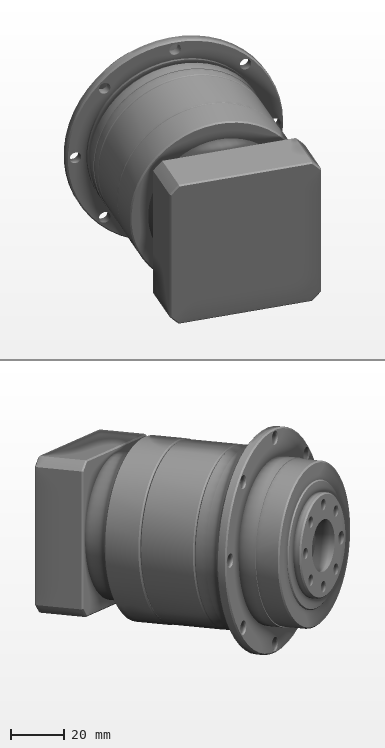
import cadquery as cq
import math

total_length = 105.5
edge_chamfer = 0.5

hub_radius = 20.0
hub_length = 3.0
seal_radius = 24.6
seal_height = 0.5
seal_chamfer = 0.4
bore_diameter = 20.0
bore_depth = 8.0
hub_hole_circle_radius = 15.7
hub_hole_positions = 8
tapped_hole_diameter = 4.3
tapped_hole_depth = 8.0
drill_tip_angle = 118.0
dowel_hole_diameter = 5.1
dowel_hole_depth = 6.0

nose_face_x = hub_length + seal_height
nose_radius = 31.6
pilot_start_x = 13.1
pilot_radius = 32.0
flange_start_x = 20.0
flange_thickness = 3.9
flange_end_x = flange_start_x + flange_thickness
flange_diameter = 86.0
land_radius = 35.1
collar_end_x = 25.0
ring_groove_end_x = 27.6
ring_groove_radius = 33.5
land_end_x = 32.2
barrel_radius = 34.9
front_seam_x = 37.0

bolt_hole_count = 8
bolt_hole_circle_radius = 39.5
bolt_hole_diameter = 4.5
bolt_hole_chamfer = 0.4

rear_seam_x = 59.5
rear_shoulder_x = 74.3
neck_radius = 28.0
plate_start_x = 85.5
plate_side = 60.0
plate_corner_radius = 40.0


def disc(start_x, end_x, radius):
    """Solid cylinder along the X axis."""
    return cq.Workplane("YZ", origin=(start_x, 0, 0)).circle(radius).extrude(end_x - start_x)


def hub_hole_cutter(angle, diameter, depth, tip_height):
    """Blind hole in the hub face, drilled along X, with an optional conical tip."""
    radius = diameter / 2
    cutter = (
        cq.Workplane("XY")
        .polyline([(0, 0), (0, radius), (depth, radius), (depth + tip_height, 0)])
        .close()
        .revolve(360, (0, 0, 0), (1, 0, 0))
    )
    return cutter.translate((0, hub_hole_circle_radius, 0)).rotate((0, 0, 0), (1, 0, 0), angle)


def cut_hub_holes(body):
    """Central bore, seven tapped holes and one flat-bottomed dowel hole on the -Y side."""
    body = body.cut(disc(0, bore_depth, bore_diameter / 2))
    tip_height = tapped_hole_diameter / 2 / math.tan(math.radians(drill_tip_angle / 2))
    dowel_position = hub_hole_positions // 2
    for position in range(hub_hole_positions):
        angle = position * 360 / hub_hole_positions
        if position == dowel_position:
            cutter = hub_hole_cutter(angle, dowel_hole_diameter, dowel_hole_depth, 0)
        else:
            cutter = hub_hole_cutter(angle, tapped_hole_diameter, tapped_hole_depth, tip_height)
        body = body.cut(cutter)
    return body


def make_mounting_flange():
    """Round flange with a ring of through holes chamfered at the front face."""
    flange = disc(flange_start_x, flange_end_x, flange_diameter / 2).edges().chamfer(edge_chamfer)
    bolt_holes = (
        cq.Workplane("YZ", origin=(flange_start_x, 0, 0))
        .polarArray(bolt_hole_circle_radius, 0, 360, bolt_hole_count)
        .circle(bolt_hole_diameter / 2)
        .extrude(flange_thickness)
    )
    mouth = (
        cq.Workplane("YZ", origin=(flange_start_x, 0, 0))
        .circle(bolt_hole_diameter / 2 + bolt_hole_chamfer)
        .workplane(offset=bolt_hole_chamfer)
        .circle(bolt_hole_diameter / 2)
        .loft()
        .translate((0, bolt_hole_circle_radius, 0))
    )
    flange = flange.cut(bolt_holes)
    for position in range(bolt_hole_count):
        angle = position * 360 / bolt_hole_count
        flange = flange.cut(mouth.rotate((0, 0, 0), (1, 0, 0), angle))
    return flange


def make_front_housing():
    """Output hub, seal ring, stepped pilot, flange and O-ring groove in one solid."""
    hub = disc(0, nose_face_x, hub_radius).faces("<X").edges().chamfer(edge_chamfer)
    seal = disc(hub_length, pilot_start_x, seal_radius).faces("<X").edges().chamfer(seal_chamfer)
    nose = disc(nose_face_x, pilot_start_x, nose_radius).faces("<X").edges().chamfer(edge_chamfer)
    pilot = disc(pilot_start_x, flange_start_x, pilot_radius)
    collar = disc(flange_end_x, collar_end_x, land_radius)
    groove_floor = disc(collar_end_x, ring_groove_end_x, ring_groove_radius)
    land = disc(ring_groove_end_x, land_end_x, land_radius)
    tail = disc(land_end_x, front_seam_x, barrel_radius).faces(">X").edges().chamfer(edge_chamfer)
    housing = hub
    for section in (seal, nose, pilot, make_mounting_flange(), collar, groove_floor, land, tail):
        housing = housing.union(section)
    return cut_hub_holes(housing)


def make_ring_gear():
    """Plain barrel whose chamfered ends form V-grooves with its neighbours."""
    return disc(front_seam_x, rear_seam_x, barrel_radius).edges().chamfer(edge_chamfer)


def make_rear_housing():
    """Chamfered drum, neck and square motor plate with corners turned to a cylinder."""
    drum = disc(rear_seam_x, rear_shoulder_x, land_radius).edges().chamfer(edge_chamfer)
    neck = disc(rear_shoulder_x, plate_start_x, neck_radius)
    plate = (
        cq.Workplane("YZ", origin=(plate_start_x, 0, 0))
        .rect(plate_side, plate_side)
        .extrude(total_length - plate_start_x)
        .intersect(disc(plate_start_x, total_length, plate_corner_radius))
        .faces("<X or >X")
        .edges()
        .chamfer(edge_chamfer)
    )
    return drum.union(neck).union(plate)


front_housing = make_front_housing()
ring_gear = make_ring_gear()
rear_housing = make_rear_housing()

result = cq.Compound.makeCompound([front_housing.val(), ring_gear.val(), rear_housing.val()])